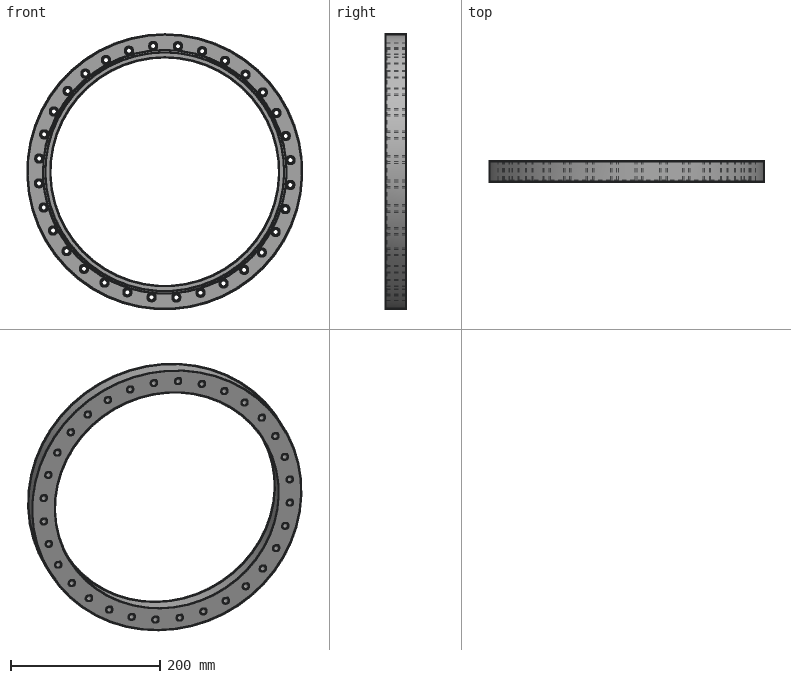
import cadquery as cq
import math

outer_radius = 184.0
bore_diameter = 306.0
bore_radius = bore_diameter / 2
thickness = 28.0
rim_chamfer = 0.5
front_y = -thickness / 2
back_y = thickness / 2

land_outer_radius = 160.0
groove_radius = 163.0
flank_angle = 20
flank_width = groove_radius - land_outer_radius
land_depth = 1.3
groove_depth = land_depth + flank_width * math.tan(math.radians(flank_angle))

bolt_count = 32
bolt_circle_radius = 169.0
first_bolt_angle = 6
bolt_hole_diameter = 8.5
countersink_diameter = 10.5
countersink_angle = 90


def make_ring():
    """Revolve the half section, given as (y, radius) points above the Y axis."""
    section = (
        cq.Workplane("YZ")
        .moveTo(back_y, bore_radius)
        .lineTo(back_y, outer_radius)
        .lineTo(front_y + rim_chamfer, outer_radius)
        .lineTo(front_y, outer_radius - rim_chamfer)
        .lineTo(front_y, groove_radius)
        .lineTo(front_y + groove_depth, groove_radius)
        .lineTo(front_y + land_depth, land_outer_radius)
        .lineTo(front_y + land_depth, bore_radius)
        .close()
    )
    return section.revolve(360, (0, 0, 0), (1, 0, 0))


def drill_bolt_holes(ring):
    """Drill the through holes, countersunk at the sealing face."""
    sealing_face = cq.Workplane("XZ", origin=(0, front_y, 0))
    return (
        ring.copyWorkplane(sealing_face)
        .polarArray(bolt_circle_radius, 90 - first_bolt_angle, 360, bolt_count)
        .cskHole(bolt_hole_diameter, countersink_diameter, countersink_angle)
    )


result = drill_bolt_holes(make_ring())